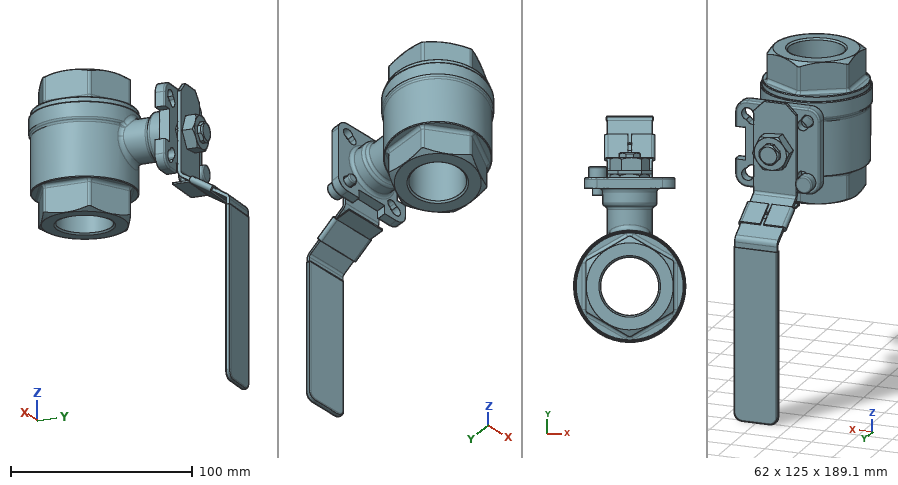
import cadquery as cq
import math


top_end_z = 39.0
bottom_end_z = -44.0
hex_flats = 48.5
hex_edge_radius = 2.0
hex_root_radius = 2.0
end_face_radius = 24.0
end_chamfer_angle = 30.0
flange_top_z = 21.0
shoulder_z = -26.0
body_radius = 30.0
rim_chamfer = 0.5
ring_radius = 31.0
ring_top_z = 18.0
ring_bottom_z = 9.0
ring_blend_radius = 2.0
bore_diameter = 32.0
bore_mouth_chamfer = 1.0

neck_radius = 12.5
neck_root_radius = 3.0
boss_radius = 15.0
boss_end_y = 46.0
boss_blend_radius = 2.0
boss_root_radius = 2.0
plate_side = 50.0
plate_back_y = 54.0
plate_thickness = 6.0
plate_face_y = plate_back_y + plate_thickness
plate_corner_radius = 7.0
plate_edge_radius = 1.0
notch_width = 19.0
notch_depth = 6.0
outer_bolt_circle = 50.0
inner_bolt_circle = 42.0
outer_hole_diameter = 7.0
inner_hole_diameter = 6.0

nut_flats = 19.0
stem_diameter = 12.0
stem_flats = 11.0
stem_chamfer = 1.0
stem_end_y = 74.0

lever_width = 25.0
lever_thickness = 2.0
lever_back_y = 62.0
lever_top_z = 27.6
lever_top_chamfer = 6.0
lever_slope = 30.0
bend_radius = 3.0
upper_bend_z = -26.8
lever_low_y = 92.5
lever_hole_diameter = 5.0

grip_wall = 0.5
grip_top_z = -48.6
grip_end_z = -150.11
grip_corner_radius = 5.0
grip_edge_radius = 1.0

nut_thickness = 7.0
nut_turn = 5.7

latch_y = 76.6
latch_length = 15.0
latch_width = 28.0
latch_thickness = 4.0
latch_gap = 2.0
tab_width = lever_width
tab_thickness = 1.0
tab_end_y = 59.0
tab_top_z = -31.4

screw_head_diameter = 10.0
screw_head_height = 6.0
screw_shank_diameter = 6.0
screw_end_y = 50.0
screw_edge_radius = 0.75

slope = math.radians(lever_slope)
lever_y = lever_back_y + lever_thickness / 2
lever_front_y = lever_back_y + lever_thickness
lower_bend_z = upper_bend_z - (lever_low_y - lever_y) * math.tan(slope)
latch_z = upper_bend_z - (latch_y - lever_y) * math.tan(slope)


def y_plane(y):
    """Plane across the stem axis: local x is X and local y is Z."""
    return cq.Plane(origin=(0, y, 0), xDir=(1, 0, 0), normal=(0, -1, 0))


def y_prism(sketch, length):
    """Extrude a y_plane sketch toward +Y."""
    return sketch.extrude(-length)


def slope_plane():
    """Plane on the sloping part of the lever at the latch: local y runs up the slope."""
    return cq.Plane(
        origin=(0, latch_y, latch_z),
        xDir=(1, 0, 0),
        normal=(0, math.sin(slope), math.cos(slope)),
    )


def slope_prism(sketch, thickness):
    """Extrude a slope_plane sketch equally to both sides."""
    return sketch.extrude(thickness / 2, both=True)


def hexagon_corner_diameter(flats):
    return flats / math.cos(math.radians(30))


def blend_length(step, radius):
    """Length of two equal tangent arcs that together make a radial step."""
    cosine = 1 - step / (2 * radius)
    return 2 * radius * math.sqrt(1 - cosine ** 2)


def blend_quarter(step, radius):
    """Radial and axial offsets from an arc's tangent end to its middle."""
    half_turn = math.acos(1 - step / (2 * radius)) / 2
    return radius * (1 - math.cos(half_turn)), radius * math.sin(half_turn)


def hex_end(end_z, root_z):
    """Hexagonal end with rounded edges, blended into an oversized disc at its root."""
    outward = 1 if end_z > root_z else -1
    disc = cq.Workplane("XY").workplane(offset=root_z).circle(1.2 * ring_radius).extrude(-outward)
    prism = (
        cq.Workplane("XY")
        .workplane(offset=root_z)
        .polygon(6, hexagon_corner_diameter(hex_flats))
        .extrude(outward * abs(end_z - root_z))
        .rotate((0, 0, 0), (0, 0, 1), 30)
        .edges("|Z")
        .fillet(hex_edge_radius)
    )
    root_edges = cq.selectors.BoxSelector(
        (-body_radius, -body_radius, root_z - 0.1),
        (body_radius, body_radius, root_z + 0.1),
        boundingbox=True,
    )
    return disc.union(prism).edges(root_edges).fillet(hex_root_radius)


def run_envelope():
    """Turned outline of the run: chamfered ends, flange rims and the raised ring."""
    chamfer_drop = (body_radius - end_face_radius) * math.tan(math.radians(end_chamfer_angle))
    rim_radius = body_radius - rim_chamfer
    ring_step = ring_radius - body_radius
    blend = blend_length(ring_step, ring_blend_radius)
    arc_dr, arc_dz = blend_quarter(ring_step, ring_blend_radius)
    blend_end_z = ring_bottom_z - blend
    return (
        cq.Workplane("XZ")
        .moveTo(0, bottom_end_z)
        .lineTo(end_face_radius, bottom_end_z)
        .lineTo(body_radius, bottom_end_z + chamfer_drop)
        .lineTo(rim_radius, shoulder_z)
        .lineTo(body_radius, shoulder_z + rim_chamfer)
        .lineTo(body_radius, blend_end_z)
        .threePointArc(
            (body_radius + arc_dr, blend_end_z + arc_dz),
            (body_radius + ring_step / 2, blend_end_z + blend / 2),
        )
        .threePointArc((ring_radius - arc_dr, ring_bottom_z - arc_dz), (ring_radius, ring_bottom_z))
        .lineTo(ring_radius, ring_top_z - rim_chamfer)
        .lineTo(ring_radius - rim_chamfer, ring_top_z)
        .lineTo(body_radius, ring_top_z)
        .lineTo(body_radius, flange_top_z - rim_chamfer)
        .lineTo(rim_radius, flange_top_z)
        .lineTo(body_radius, top_end_z - chamfer_drop)
        .lineTo(end_face_radius, top_end_z)
        .lineTo(0, top_end_z)
        .close()
        .revolve(360, (0, 0), (0, 1))
    )


def run_body():
    middle = (
        cq.Workplane("XY")
        .workplane(offset=shoulder_z)
        .circle(1.2 * ring_radius)
        .extrude(flange_top_z - shoulder_z)
    )
    stock = middle.union(hex_end(top_end_z, flange_top_z)).union(hex_end(bottom_end_z, shoulder_z))
    return stock.intersect(run_envelope())


def neck():
    """Neck and boss from the run to the plate, turned about the stem axis."""
    step = boss_radius - neck_radius
    blend = blend_length(step, boss_blend_radius)
    arc_dr, arc_dy = blend_quarter(step, boss_blend_radius)
    blend_start_y = boss_end_y - blend
    root_bulge = boss_root_radius * (1 - math.sqrt(0.5))
    return (
        cq.Workplane("XY")
        .lineTo(neck_radius, 0)
        .lineTo(neck_radius, blend_start_y)
        .threePointArc(
            (neck_radius + arc_dr, blend_start_y + arc_dy),
            (neck_radius + step / 2, blend_start_y + blend / 2),
        )
        .threePointArc((boss_radius - arc_dr, boss_end_y - arc_dy), (boss_radius, boss_end_y))
        .lineTo(boss_radius, plate_back_y - boss_root_radius)
        .threePointArc(
            (boss_radius + root_bulge, plate_back_y - root_bulge),
            (boss_radius + boss_root_radius, plate_back_y),
        )
        .lineTo(0, plate_back_y)
        .close()
        .revolve(360, (0, 0), (0, 1))
    )


def keyhole():
    """Two bolt-circle holes on one diagonal, joined by a slot of the smaller width."""
    inner_reach = inner_bolt_circle / 2
    outer_reach = outer_bolt_circle / 2
    sketch = cq.Workplane(y_plane(plate_back_y))
    inner = y_prism(sketch.center(inner_reach, 0).circle(inner_hole_diameter / 2), plate_thickness)
    outer = y_prism(sketch.center(outer_reach, 0).circle(outer_hole_diameter / 2), plate_thickness)
    link_length = outer_reach - inner_reach
    link = y_prism(
        sketch.center(inner_reach + link_length / 2, 0).rect(link_length, inner_hole_diameter),
        plate_thickness,
    )
    return inner.union(outer).union(link)


def mounting_plate():
    """Square plate with four keyholes and a notch in its bottom and +X edges."""
    plate = y_prism(cq.Workplane(y_plane(plate_back_y)).rect(plate_side, plate_side), plate_thickness)
    plate = plate.edges("|Y").fillet(plate_corner_radius)
    plate = plate.faces(">Y").edges().fillet(plate_edge_radius)
    for angle in (45, 135, 225, 315):
        plate = plate.cut(keyhole().rotate((0, 0, 0), (0, 1, 0), angle))
    notch_center_z = (notch_depth - plate_side) / 2
    notch_plane = cq.Workplane(y_plane(plate_back_y)).center(0, notch_center_z)
    notch = y_prism(notch_plane.rect(notch_width, notch_depth), plate_thickness)
    bottom_to_right = -90
    return plate.cut(notch).cut(notch.rotate((0, 0, 0), (0, 1, 0), bottom_to_right))


def hexagon_nut(start_y, thickness):
    """Hexagon about the stem axis with corners at +X and -X, its outer end chamfered."""
    corner_diameter = hexagon_corner_diameter(nut_flats)
    prism = y_prism(cq.Workplane(y_plane(start_y)).polygon(6, corner_diameter), thickness)
    flat_radius = nut_flats / 2
    corner_radius = corner_diameter / 2
    drop = (corner_radius - flat_radius) * math.tan(math.radians(end_chamfer_angle))
    end_y = start_y + thickness
    envelope = (
        cq.Workplane("XY")
        .moveTo(0, start_y)
        .lineTo(corner_radius, start_y)
        .lineTo(corner_radius, end_y - drop)
        .lineTo(flat_radius, end_y)
        .lineTo(0, end_y)
        .close()
        .revolve(360, (0, 0), (0, 1))
    )
    return prism.intersect(envelope)


def stem(start_y):
    """Round stem with four flats set diagonally to X and Z."""
    length = stem_end_y - start_y
    bar = y_prism(cq.Workplane(y_plane(start_y)).circle(stem_diameter / 2), length)
    bar = bar.faces(">Y").edges().chamfer(stem_chamfer)
    square = y_prism(cq.Workplane(y_plane(start_y)).rect(stem_flats, stem_flats), length)
    return bar.intersect(square.rotate((0, 0, 0), (0, 1, 0), 45))


def build_housing():
    """Run, neck, mounting plate, packing hexagon and stem as one solid with a through bore."""
    run = run_body()
    body = run.union(neck())
    root_zone = cq.selectors.BoxSelector(
        (-neck_radius - 0.1, body_radius - 4, -neck_radius - 0.1),
        (neck_radius + 0.1, ring_radius + 0.5, neck_radius + 0.1),
        boundingbox=True,
    )
    body = body.edges(root_zone).fillet(neck_root_radius)
    mouth = bore_diameter / 2 + bore_mouth_chamfer
    bore = (
        cq.Workplane("XY")
        .workplane(offset=bottom_end_z)
        .circle(bore_diameter / 2)
        .extrude(top_end_z - bottom_end_z)
    )
    body = body.cut(bore)
    for end_z, inward in ((top_end_z, -1), (bottom_end_z, 1)):
        cone = cq.Solid.makeCone(
            mouth, mouth - bore_mouth_chamfer, bore_mouth_chamfer, (0, 0, end_z), (0, 0, inward)
        )
        body = body.cut(cq.Workplane(cone))
    packing = hexagon_nut(plate_face_y, lever_back_y - plate_face_y)
    return body.union(mounting_plate()).union(packing).union(stem(plate_face_y))


def lever_outline(end_z):
    """Side outline of the bent strip, with sharp bends."""
    half = lever_thickness / 2
    bend_shift = half * math.tan((math.pi / 2 - slope) / 2)
    return (
        cq.Workplane("YZ")
        .moveTo(lever_y - half, lever_top_z)
        .lineTo(lever_y + half, lever_top_z)
        .lineTo(lever_y + half, upper_bend_z + bend_shift)
        .lineTo(lever_low_y + half, lower_bend_z + bend_shift)
        .lineTo(lever_low_y + half, end_z)
        .lineTo(lever_low_y - half, end_z)
        .lineTo(lever_low_y - half, lower_bend_z - bend_shift)
        .lineTo(lever_y - half, upper_bend_z - bend_shift)
        .close()
    )


def build_lever():
    """Twice-bent strip with a stem opening and a latch hole."""
    half = lever_thickness / 2
    strip = lever_outline(grip_end_z + grip_wall).extrude(lever_width / 2, both=True)
    bend_shift = half * math.tan((math.pi / 2 - slope) / 2)
    inner_radius = bend_radius - half
    outer_radius = bend_radius + half
    bend_corners = (
        (lever_y + half, upper_bend_z + bend_shift, inner_radius),
        (lever_y - half, upper_bend_z - bend_shift, outer_radius),
        (lever_low_y + half, lower_bend_z + bend_shift, outer_radius),
        (lever_low_y - half, lower_bend_z - bend_shift, inner_radius),
    )
    for y, z, radius in bend_corners:
        corner = strip.edges("|X").edges(cq.NearestToPointSelector((0, y, z)))
        strip = corner.fillet(radius)
    strip = strip.edges("|Y and >Z").chamfer(lever_top_chamfer)
    strip = strip.edges("|Y and <Z").fillet(grip_corner_radius - grip_wall)
    hole = slope_prism(cq.Workplane(slope_plane()).circle(lever_hole_diameter / 2), lever_thickness)
    return strip.cut(stem(lever_back_y)).cut(hole)


def build_grip(lever):
    """Rounded cover pushed over the lower end of the lever."""
    height = grip_top_z - grip_end_z
    width = lever_width + 2 * grip_wall
    thickness = lever_thickness + 2 * grip_wall
    grip = cq.Workplane("XY").box(width, thickness, height).translate(
        (0, lever_low_y, (grip_top_z + grip_end_z) / 2)
    )
    grip = grip.edges("|Y and <Z").fillet(grip_corner_radius)
    grip = grip.faces("<Y or >Y").edges("not >Z").fillet(grip_edge_radius)
    return grip.cut(lever)


def build_nut():
    nut = hexagon_nut(lever_front_y, nut_thickness).rotate((0, 0, 0), (0, 1, 0), nut_turn)
    return nut.cut(stem(lever_front_y))


def build_latch():
    """Round-edged sheet sleeve with a gap along its outer face and a flat tab under the plate."""
    end_plane = cq.Plane(
        origin=(0, latch_y, latch_z),
        xDir=(1, 0, 0),
        normal=(0, -math.cos(slope), math.sin(slope)),
    )
    section = cq.Workplane(end_plane)
    sleeve = section.slot2D(latch_width, latch_thickness).extrude(latch_length / 2, both=True)
    passage = section.rect(lever_width, lever_thickness).extrude(latch_length, both=True)
    gap_depth = latch_thickness / 2
    gap = cq.Workplane(slope_plane()).rect(latch_gap, latch_length).extrude(gap_depth)
    tab_start_y = latch_y - latch_length / 2 * math.cos(slope) - latch_thickness / 2 * math.sin(slope)
    tab = (
        cq.Workplane("XY")
        .workplane(offset=tab_top_z - tab_thickness)
        .center(0, (tab_start_y + tab_end_y) / 2 + tab_thickness / 2)
        .rect(tab_width, tab_start_y - tab_end_y + tab_thickness)
        .extrude(tab_thickness)
    )
    return sleeve.union(tab).cut(passage).cut(gap)


def build_screw():
    """Stop screw in the lower -X keyhole, its head on the plate face."""
    reach = outer_bolt_circle / 2 * math.sqrt(0.5)
    head = y_prism(cq.Workplane(y_plane(plate_face_y)).circle(screw_head_diameter / 2), screw_head_height)
    head = head.faces(">Y").edges().fillet(screw_edge_radius)
    shank_length = plate_face_y - screw_end_y
    shank = y_prism(cq.Workplane(y_plane(screw_end_y)).circle(screw_shank_diameter / 2), shank_length)
    shank = shank.faces("<Y").edges().fillet(screw_edge_radius)
    return head.union(shank).translate((-reach, 0, -reach))


housing = build_housing()
lever = build_lever()
grip = build_grip(lever)
nut = build_nut()
latch = build_latch()
screw = build_screw()

result = cq.Compound.makeCompound(
    [housing.val(), lever.val(), grip.val(), nut.val(), latch.val(), screw.val()]
)